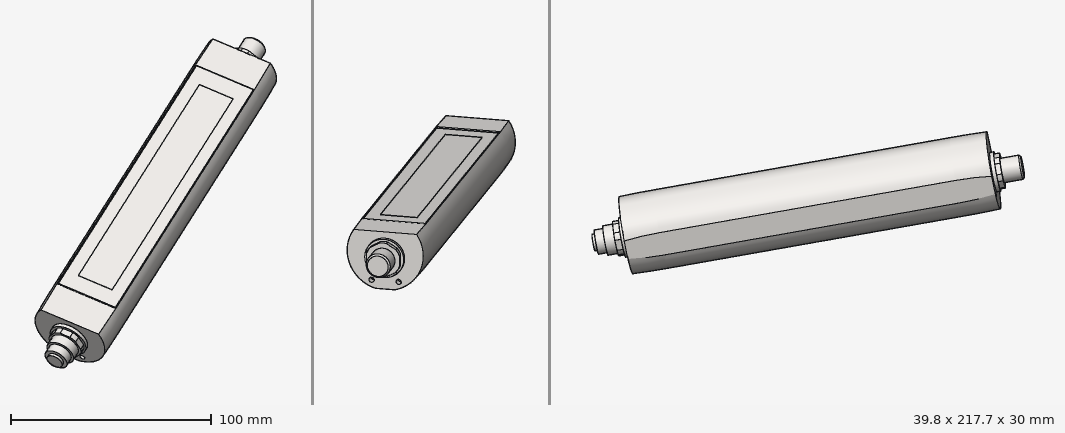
import cadquery as cq
import math

housing_radius = 39.8 / 2
top_z = 11.0
bottom_z = -19.0
housing_length = 186.4
cap_length = 18.0
cap_end_radius = 19.5

panel_width = 32.0
panel_depth = 0.5
label_width = 19.0
label_length = 131.3
label_depth = 0.2
gap_width = 0.7
gap_depth = 0.2

connector_z = -2.2
washer_radius = 10.0
washer_length = 2.0
nut_flat_distance = 8.5
nut_corner_radius = 9.0
front_nut_end = 5.2
back_nut_end = 4.5
collar_radius = 15.0 / 2
collar_end = 10.5
barrel_radius = 12.5 / 2
front_barrel_end = 15.0
tip_radius = 8.5 / 2
front_connector_length = 16.5
back_connector_length = 14.8
back_chamfer = 0.9

screw_hole_radius = 1.3
screw_hole_depth = 4.4
screw_x = 7.0
screw_z = -14.5

face_y = housing_length / 2
joint_y = face_y - cap_length
panel_length = 2 * joint_y
panel_z = top_z - panel_depth


def make_housing():
    """Revolved barrel, rounded off tangentially over both caps, trimmed to the two flats."""
    drop = housing_radius - cap_end_radius
    arc_radius = (cap_length**2 + drop**2) / (2 * drop)
    barrel = (
        cq.Workplane("XY")
        .moveTo(0, -face_y)
        .lineTo(cap_end_radius, -face_y)
        .radiusArc((housing_radius, -joint_y), -arc_radius)
        .lineTo(housing_radius, joint_y)
        .radiusArc((cap_end_radius, face_y), -arc_radius)
        .lineTo(0, face_y)
        .close()
        .revolve(360, (0, 0), (0, 1))
    )
    envelope = (
        cq.Workplane("XY")
        .workplane(offset=bottom_z)
        .rect(2 * housing_radius, housing_length)
        .extrude(top_z - bottom_z)
    )
    return barrel.intersect(envelope)


def top_recess(width, length, surface_z, depth):
    """Cutter for a rectangular recess sunk from surface_z."""
    return cq.Workplane("XY").workplane(offset=surface_z).rect(width, length).extrude(-depth)


def panel_gap():
    """Cutter for the narrow gap across the front end of the panel."""
    center_y = (gap_width - panel_length) / 2
    return top_recess(panel_width, gap_width, panel_z, gap_depth).translate((0, center_y, 0))


def end_plane(side, distance=0):
    """Workplane on the connector axis, facing outward, at a distance beyond the cap face.

    side is -1 for the front end and 1 for the back end.
    """
    origin = (0, side * (face_y + distance), connector_z)
    return cq.Workplane(cq.Plane(origin=origin, xDir=(1, 0, 0), normal=(0, side, 0)))


def disc(side, radius, start, end):
    return end_plane(side, start).circle(radius).extrude(end - start)


def nut(side, end, turn):
    """Hexagonal nut with its corners rounded by a cylinder, turned about its axis."""
    length = end - washer_length
    plane = end_plane(side, washer_length)
    across_corners = 2 * nut_flat_distance / math.cos(math.radians(30))
    hexagon = plane.transformed(rotate=(0, 0, turn)).polygon(6, across_corners).extrude(length)
    return hexagon.intersect(disc(side, nut_corner_radius, washer_length, end))


def front_connector():
    return (
        disc(-1, washer_radius, 0, washer_length)
        .union(nut(-1, front_nut_end, 0))
        .union(disc(-1, collar_radius, front_nut_end, collar_end))
        .union(disc(-1, barrel_radius, collar_end, front_barrel_end))
        .union(disc(-1, tip_radius, front_barrel_end, front_connector_length))
    )


def back_connector():
    barrel = disc(1, barrel_radius, back_nut_end, back_connector_length)
    return (
        disc(1, washer_radius, 0, washer_length)
        .union(nut(1, back_nut_end, 30))
        .union(barrel.faces(">Y").chamfer(back_chamfer))
    )


def screw_holes(side):
    local_z = side * (connector_z - screw_z)
    return (
        end_plane(side)
        .pushPoints([(-screw_x, local_z), (screw_x, local_z)])
        .circle(screw_hole_radius)
        .extrude(-screw_hole_depth)
    )


result = (
    make_housing()
    .cut(top_recess(panel_width, panel_length, top_z, panel_depth))
    .cut(top_recess(label_width, label_length, panel_z, label_depth))
    .cut(panel_gap())
    .union(front_connector())
    .union(back_connector())
)
for end_side in (-1, 1):
    result = result.cut(screw_holes(end_side))